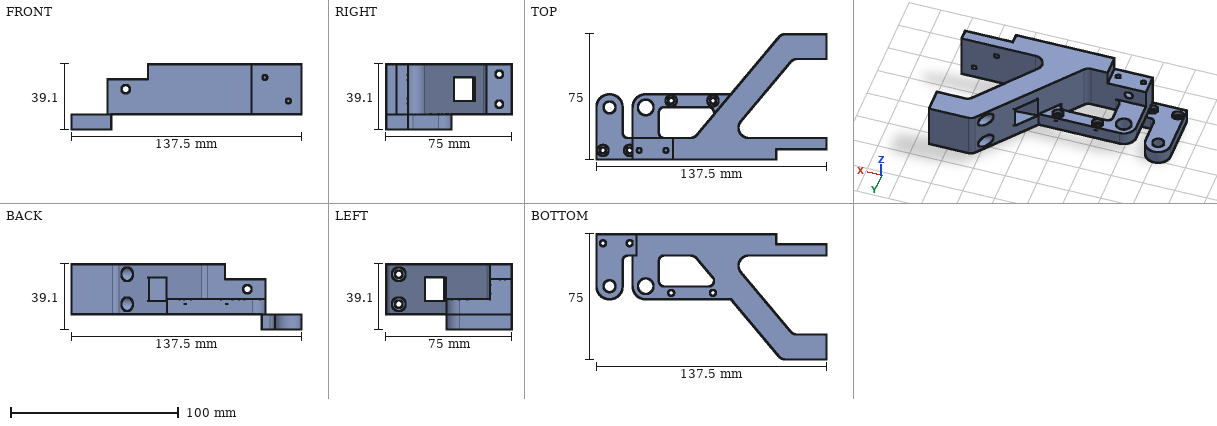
import cadquery as cq
import math

LENGTH = 137.5
DEPTH = 75.0
BRACKET_HEIGHT = 30.0
BRACKET_LEFT = 21.6
LEG_DEPTH = 12.9
ARM_THICKNESS = 15.0
ARM_ANGLE = 50.0
ARM_FOOT_X = 58.5
BEND_RADIUS = 5.0
CROTCH_RADIUS = 6.0

STEP_X = 45.7
STEP_HEIGHT = 21.0
CROSS_HOLE_X = 32.5
CROSS_HOLE_Z = 15.0
CROSS_HOLE_DIAMETER = 5.0

BLADE_X = 107.5
BLADE_FRONT_Y = 6.0
BLADE_HOLES = [(115.5, 22.0), (129.5, 8.0)]
SMALL_HOLE_DIAMETER = 2.9
SMALL_HOLE_DEPTH = 10.0

PLATE_THICKNESS = 9.1
LUG_WIDTH = 15.8
LUG_RADIUS = LUG_WIDTH / 2
PLATE_BACK_Y = 39.0
PIVOT_Y = PLATE_BACK_Y - LUG_RADIUS
INNER_RADIUS = 3.0
SCREW_HOLE_DIAMETER = 3.5
SCREW_HEAD_DIAMETER = 6.7
SCREW_HEAD_DEPTH = 3.0

LUG_HOLE_DIAMETER = 9.2
RAIL_WIDTH = 7.8
OPENING_RIGHT_X = 70.1
PLATE_SCREW_XS = [44.7, 69.6]

FOOT_LENGTH = 24.0
FOOT_HOLE_DIAMETER = 7.0
FOOT_SCREW_XS = [4.0, 20.0]
FOOT_SCREW_Y = 5.5
TAPPED_XS = [25.6, 41.5]

WINDOW_Y = 39.3
WINDOW_WIDTH = 11.8
WINDOW_BOTTOM = 8.0
WINDOW_TOP = 22.0
WINDOW_ANGLE = 3.3
TIP_SCREW_ZS = [6.0, 24.0]
TIP_HOLE_DIAMETER = 4.4
TIP_HEAD_DIAMETER = 8.3
TIP_HEAD_FLOOR_X = 116.9

slope = math.tan(math.radians(ARM_ANGLE))
arm_width_x = ARM_THICKNESS / math.sin(math.radians(ARM_ANGLE))


def arm_left_x(y):
    """X of the left arm face at a given Y."""
    return ARM_FOOT_X + (y - LEG_DEPTH) / slope


def box(x0, x1, y0, y1, z0, z1):
    """Axis-aligned box between two corners."""
    return cq.Workplane("XY").box(x1 - x0, y1 - y0, z1 - z0, centered=False).translate((x0, y0, z0))


def cylinder(start, direction, diameter, length):
    """Round cutter running from a start point along a direction."""
    return cq.Workplane(cq.Solid.makeCylinder(diameter / 2, length, cq.Vector(*start), cq.Vector(*direction)))


def upright_edges(body, corners, radius):
    """Round the full-height edges standing at the given XY corners."""
    for x, y in corners:
        body = body.edges(cq.selectors.NearestToPointSelector((x, y, body.val().Center().z))).fillet(radius)
    return body


def plate_screw(x, y, top):
    """Counterbored screw hole cutter going down through a plate."""
    shank = cylinder((x, y, top), (0, 0, -1), SCREW_HOLE_DIAMETER, PLATE_THICKNESS)
    head = cylinder((x, y, top), (0, 0, -1), SCREW_HEAD_DIAMETER, SCREW_HEAD_DEPTH)
    return shank.union(head)


def make_leg_and_arm():
    tip_y = DEPTH - ARM_THICKNESS
    crotch = (ARM_FOOT_X + arm_width_x, LEG_DEPTH)
    tip_inner = (arm_left_x(tip_y) + arm_width_x, tip_y)
    tip_outer = (arm_left_x(DEPTH), DEPTH)
    foot = (ARM_FOOT_X, LEG_DEPTH)
    outline = [
        (BRACKET_LEFT, 0), (BLADE_X, 0), (BLADE_X, BLADE_FRONT_Y), (LENGTH, BLADE_FRONT_Y),
        (LENGTH, LEG_DEPTH), crotch, tip_inner, (LENGTH, tip_y), (LENGTH, DEPTH),
        tip_outer, foot, (BRACKET_LEFT, LEG_DEPTH),
    ]
    body = cq.Workplane("XY").polyline(outline).close().extrude(BRACKET_HEIGHT)
    body = upright_edges(body, [tip_inner, tip_outer, foot], BEND_RADIUS)
    body = upright_edges(body, [crotch], CROTCH_RADIUS)
    return body.cut(box(BRACKET_LEFT, STEP_X, 0, LEG_DEPTH, STEP_HEIGHT, BRACKET_HEIGHT))


def make_lug_plate():
    outline = [
        (BRACKET_LEFT, 0), (ARM_FOOT_X, 0), (ARM_FOOT_X, LEG_DEPTH),
        (arm_left_x(PLATE_BACK_Y), LEG_DEPTH),
        (arm_left_x(PLATE_BACK_Y), PLATE_BACK_Y), (BRACKET_LEFT, PLATE_BACK_Y),
    ]
    plate = cq.Workplane("XY").polyline(outline).close().extrude(PLATE_THICKNESS)
    return upright_edges(plate, [(BRACKET_LEFT, PLATE_BACK_Y)], LUG_RADIUS)


def make_plate_opening():
    opening = box(BRACKET_LEFT + LUG_WIDTH, OPENING_RIGHT_X, LEG_DEPTH, PLATE_BACK_Y - RAIL_WIDTH,
                  0, PLATE_THICKNESS)
    return opening.edges("|Z").fillet(INNER_RADIUS)


def make_window():
    """Slightly slanted rectangular passage through the arm."""
    start_x = arm_left_x(WINDOW_Y)
    run = 3 * ARM_THICKNESS
    passage = box(0, run, 0, WINDOW_WIDTH, WINDOW_BOTTOM, WINDOW_TOP)
    return passage.rotate((0, 0, 0), (0, 0, 1), WINDOW_ANGLE).translate((start_x, WINDOW_Y, 0))


def make_tip_screw(z):
    """Screw hole along the arm tip, its head recess open to the slanted face."""
    y = DEPTH - ARM_THICKNESS / 2
    shank = cylinder((STEP_X, y, z), (1, 0, 0), TIP_HOLE_DIAMETER, LENGTH - STEP_X)
    head = cylinder((STEP_X, y, z), (1, 0, 0), TIP_HEAD_DIAMETER, TIP_HEAD_FLOOR_X - STEP_X)
    return shank.union(head)


def make_bracket():
    arm = make_leg_and_arm()
    body = arm.union(make_lug_plate().cut(make_plate_opening()))
    body = body.cut(cylinder((BRACKET_LEFT + LUG_RADIUS, PIVOT_Y, 0), (0, 0, 1),
                             LUG_HOLE_DIAMETER, PLATE_THICKNESS))
    for x in PLATE_SCREW_XS:
        body = body.cut(plate_screw(x, PLATE_BACK_Y - RAIL_WIDTH / 2, PLATE_THICKNESS))
    for x in TAPPED_XS:
        body = body.cut(cylinder((x, FOOT_SCREW_Y, STEP_HEIGHT), (0, 0, -1),
                                 SMALL_HOLE_DIAMETER, SMALL_HOLE_DEPTH))
    body = body.cut(cylinder((CROSS_HOLE_X, 0, CROSS_HOLE_Z), (0, 1, 0), CROSS_HOLE_DIAMETER, LEG_DEPTH))
    for x, z in BLADE_HOLES:
        body = body.cut(cylinder((x, 0, z), (0, 1, 0), SMALL_HOLE_DIAMETER, LEG_DEPTH))
    for z in TIP_SCREW_ZS:
        body = body.cut(make_tip_screw(z))
    body = body.cut(make_window())
    return cq.Workplane(body.solids().val())


def make_foot_plate():
    """L-shaped plate under the left end of the bracket."""
    outline = [
        (0, 0), (FOOT_LENGTH, 0), (FOOT_LENGTH, LEG_DEPTH), (LUG_WIDTH, LEG_DEPTH), (LUG_WIDTH, PIVOT_Y),
    ]
    plate = (
        cq.Workplane("XY").polyline(outline)
        .threePointArc((LUG_RADIUS, PLATE_BACK_Y), (0, PIVOT_Y))
        .close().extrude(-PLATE_THICKNESS)
    )
    plate = upright_edges(plate, [(LUG_WIDTH, LEG_DEPTH)], INNER_RADIUS)
    plate = plate.cut(cylinder((LUG_RADIUS, PIVOT_Y, 0), (0, 0, -1), FOOT_HOLE_DIAMETER, PLATE_THICKNESS))
    for x in FOOT_SCREW_XS:
        plate = plate.cut(plate_screw(x, FOOT_SCREW_Y, 0))
    return plate


bracket = make_bracket()
foot_plate = make_foot_plate()
result = cq.Compound.makeCompound([bracket.val(), foot_plate.val()])